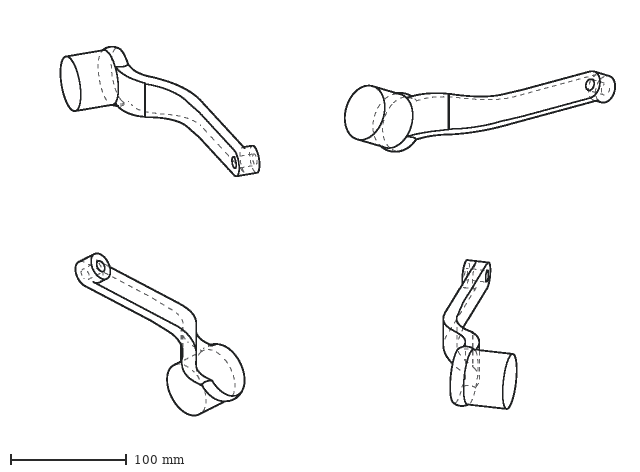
import cadquery as cq
import math

knob_radius = 24.0
knob_length = 35.0
collar_radius = 26.0
collar_thickness = 12.1
collar_top = knob_length + collar_thickness

overall_length = 238.0
overall_depth = 92.0
boss_radius = 24.0 / 2
boss_height = 19.0
hole_diameter = 10.0
boss_x = overall_length - collar_radius - boss_radius
arm_bottom = overall_depth - boss_height

arm_top = 83.0
lower_inner_radius = 30.0
lower_outer_radius = lower_inner_radius + collar_thickness
lower_center = (knob_radius, collar_top + lower_inner_radius)
upper_outer_radius = 59.7
upper_inner_radius = 48.0
upper_center = (96.8, arm_top - upper_outer_radius)
lower_top_end_x = 47.5
lower_bottom_end_x = 54.2
upper_top_start_x = 52.5
upper_bottom_start_x = 55.5
upper_bottom_end_x = 89.5
taper_end_x = 118.2

wide_half_width = 17.5
narrow_half_width = boss_radius
narrowing_start_x = 28.3
narrowing_end_x = 94.7
convex_end = (49.0, 17.0)
concave_start = (52.5, 16.5)
concave_middle = (71.4, 13.8)


def on_circle(center, radius, x, side):
    """Point at x on a circle; side is +1 for the upper half, -1 for the lower."""
    return (x, center[1] + side * math.sqrt(radius**2 - (x - center[0])**2))


def add_bend(sketch, center, radius, start_x, end_x, side):
    """Continue the outline from start_x to end_x along a circular bend."""
    middle = on_circle(center, radius, (start_x + end_x) / 2, side)
    return sketch.threePointArc(middle, on_circle(center, radius, end_x, side))


def make_knob():
    outline = (
        cq.Workplane("XY")
        .lineTo(knob_radius, 0)
        .lineTo(knob_radius, knob_length)
        .threePointArc((collar_radius, knob_length + collar_thickness / 2), (knob_radius, collar_top))
        .lineTo(0, collar_top)
        .close()
    )
    return outline.revolve(360, (0, 0, 0), (0, 1, 0))


def make_bent_strip():
    upper_bottom_start = on_circle(upper_center, upper_inner_radius, upper_bottom_start_x, 1)
    lower_top_end = on_circle(lower_center, lower_inner_radius, lower_top_end_x, -1)
    sketch = cq.Workplane("XY").moveTo(0, knob_length).lineTo(knob_radius, knob_length)
    sketch = add_bend(sketch, lower_center, lower_outer_radius, knob_radius, lower_bottom_end_x, -1)
    sketch = sketch.lineTo(*upper_bottom_start)
    sketch = add_bend(
        sketch, upper_center, upper_inner_radius, upper_bottom_start_x, upper_bottom_end_x, 1
    )
    sketch = (
        sketch.lineTo(taper_end_x, arm_bottom)
        .lineTo(boss_x, arm_bottom)
        .lineTo(boss_x, arm_top)
        .lineTo(upper_center[0], arm_top)
    )
    sketch = add_bend(
        sketch, upper_center, upper_outer_radius, upper_center[0], upper_top_start_x, 1
    )
    sketch = sketch.lineTo(*lower_top_end)
    sketch = add_bend(sketch, lower_center, lower_inner_radius, lower_top_end_x, knob_radius, -1)
    sketch = sketch.lineTo(0, collar_top).close()
    return sketch.extrude(wide_half_width, both=True)


def make_width_envelope():
    half = (
        cq.Workplane("XZ")
        .lineTo(0, wide_half_width)
        .lineTo(narrowing_start_x, wide_half_width)
        .tangentArcPoint(convex_end, relative=False)
        .lineTo(*concave_start)
        .threePointArc(concave_middle, (narrowing_end_x, narrow_half_width))
        .lineTo(boss_x, narrow_half_width)
        .lineTo(boss_x, 0)
        .close()
        .extrude(-overall_depth)
    )
    return half.union(half.mirror("XY"))


def boss_cylinder(radius):
    return (
        cq.Workplane("XZ", origin=(0, arm_bottom, 0))
        .center(boss_x, 0)
        .circle(radius)
        .extrude(-boss_height)
    )


arm = make_bent_strip().intersect(make_width_envelope())
body = make_knob().union(arm).union(boss_cylinder(boss_radius))
result = body.cut(boss_cylinder(hole_diameter / 2))